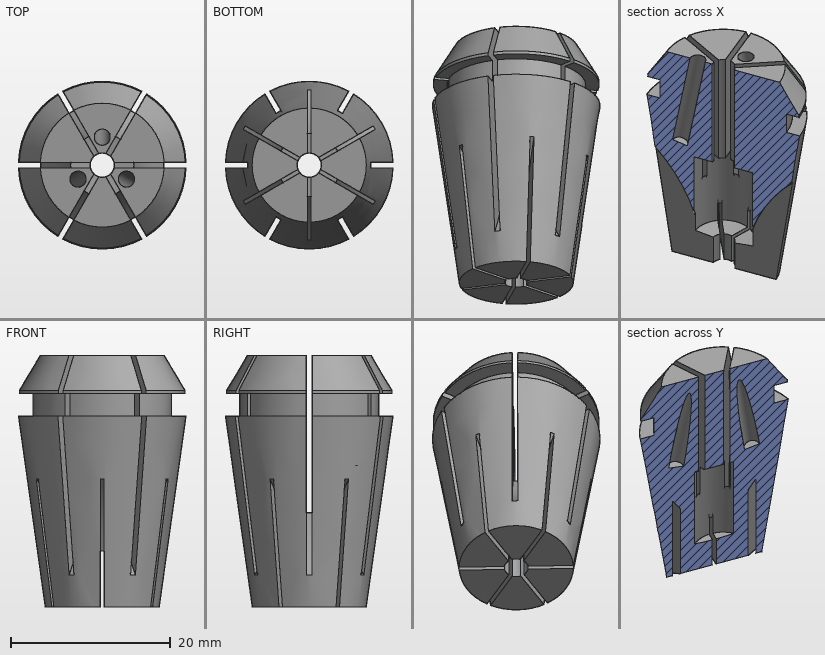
import cadquery as cq
import math

total_height = 31.5
body_height = 23.9
body_top_radius = 10.5
taper_angle = 8.0
body_bottom_radius = body_top_radius - body_height * math.tan(math.radians(taper_angle))

groove_radius = 8.7
groove_top = 26.7
rim_radius = 10.38
rim_top = 27.1
face_radius = 7.75

bore_radius = 1.5
chamber_radius = 3.95
chamber_floor = 4.0
chamber_roof = 16.0
floor_slope = 7.0

slot_pairs = 3
pair_pitch = 180 / slot_pairs
wide_slot_width = 0.7
narrow_slot_width = 0.5
saw_radius = 21.9
wide_slot_bottom = 4.0
wide_slot_inner_bottom = 11.8
narrow_slot_top = 16.0
narrow_slot_inner_top = 7.0
overrun = 1.0

jet_count = 3
jet_pitch = 360 / jet_count
jet_radius = 1.0
jet_circle_radius = 3.5
jet_angle = 10.0
jet_depth = 14.0


def body_radius_at(height):
    """Outer radius of the tapered body at a given height."""
    return body_bottom_radius + height * math.tan(math.radians(taper_angle))


def make_body():
    """Tapered shank, groove and conical head with a short cylindrical rim as one revolved solid."""
    return (
        cq.Workplane("XZ")
        .polyline([
            (0, 0),
            (body_bottom_radius, 0),
            (body_top_radius, body_height),
            (groove_radius, body_height),
            (groove_radius, groove_top),
            (rim_radius, groove_top),
            (rim_radius, rim_top),
            (face_radius, total_height),
            (0, total_height),
        ])
        .close()
        .revolve(360, (0, 0, 0), (0, 1, 0))
    )


def make_bore():
    """Straight through bore joined to the chamber with its funnel-shaped floor."""
    floor_rise = (chamber_radius - bore_radius) * math.tan(math.radians(floor_slope))
    return (
        cq.Workplane("XZ")
        .polyline([
            (0, 0),
            (bore_radius, 0),
            (bore_radius, chamber_floor),
            (chamber_radius, chamber_floor + floor_rise),
            (chamber_radius, chamber_roof),
            (bore_radius, chamber_roof),
            (bore_radius, total_height),
            (0, total_height),
        ])
        .close()
        .revolve(360, (0, 0, 0), (0, 1, 0))
    )


def saw_sagitta(run, rise):
    """Signed arc height for a saw-radius arc whose centre lies outside the body."""
    half_chord = math.hypot(run, rise) / 2
    height = saw_radius - math.sqrt(saw_radius ** 2 - half_chord ** 2)
    return math.copysign(height, rise)


def make_slot(width, outer_end, inner_end, open_end):
    """Two opposite slots in the XZ plane, run out by a saw arc between chamber and outer wall."""
    outer_radius = body_radius_at(outer_end)
    reach = body_top_radius + overrun
    bulge = saw_sagitta(outer_radius - chamber_radius, outer_end - inner_end)
    half = (
        cq.Workplane("XZ", origin=(0, width / 2, 0))
        .moveTo(0, open_end)
        .lineTo(0, inner_end)
        .lineTo(chamber_radius, inner_end)
        .sagittaArc((outer_radius, outer_end), bulge)
        .lineTo(reach, outer_end)
        .lineTo(reach, open_end)
        .close()
        .extrude(width)
    )
    return half.union(half.mirror("YZ"))


def make_jet():
    """Jet hole in the +Y half, entering through the head face."""
    start = cq.Vector(0, jet_circle_radius, total_height)
    lean = math.radians(jet_angle)
    direction = cq.Vector(0, math.sin(lean), -math.cos(lean))
    drill = cq.Solid.makeCylinder(jet_radius, jet_depth + overrun, start - direction * overrun, direction)
    return cq.Workplane(obj=drill)


def rotated(tool, angle):
    """Copy of a tool turned about the part axis."""
    return tool.rotate((0, 0, 0), (0, 0, 1), angle)


result = make_body().cut(make_bore())

wide_slot = make_slot(wide_slot_width, wide_slot_bottom, wide_slot_inner_bottom, total_height + overrun)
narrow_slot = make_slot(narrow_slot_width, narrow_slot_top, narrow_slot_inner_top, -overrun)
for pair in range(slot_pairs):
    result = result.cut(rotated(wide_slot, pair * pair_pitch))
    result = result.cut(rotated(narrow_slot, (pair + 0.5) * pair_pitch))

jet = make_jet()
for index in range(jet_count):
    result = result.cut(rotated(jet, index * jet_pitch))